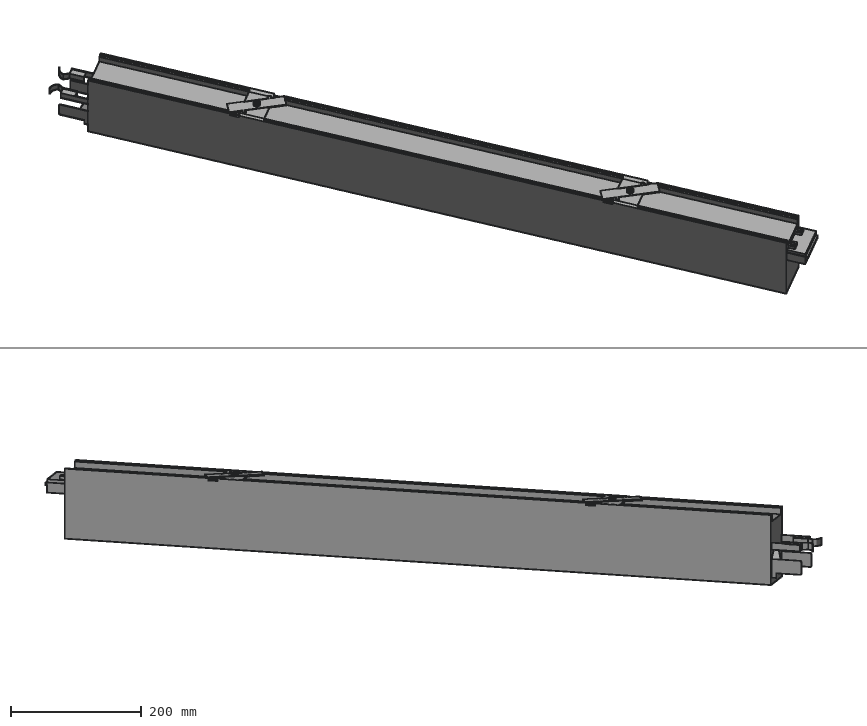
import cadquery as cq

total_length = 1220.0
total_height = 113.0

housing_width = 62.0
housing_height = 110.0
housing_start = 65.0
housing_end = 1187.0
floor_z = 99.0
wall = 4.0
ledge_width = 4.0
ledge_z = 109.0
join = 2.0

clip_spacing = 600.0
plate_length = 40.0
arm_length = 89.0
arm_width = 18.0
arm_angle = 29
arm_bottom = 109.0
arm_top = 111.0
button_diameter = 11.0
socket_diameter = 5.7
socket_depth = 2.0
nut_diameter = 13.0
nut_top = 104.0
pin_diameter = 5.7
pin_x = 13.0
pin_y = 21.0
notch_start = 18.0
notch_length = 15.0
notch_depth = 4.0

sheet = 1.0
contact_y = 28.0
spring_bottom = 55.0
spring_top = 66.0
channel_start = 20.0
channel_end = 43.0
channel_inner_y = 16.0
curl_inner_y = 11.0
curl_bend_x = 11.0
curl_mid_x = 2.0
curl_mid_y = 17.0
curl_tip_y = 25.0
blade_start = 17.0
blade_bottom = 18.0
blade_top = 40.0
blade_radius = 2.0
foot_length = 7.0
foot_bottom = 11.0
tab_base_length = 15.0
tab_tip_length = 7.0
tab_inner_y = 13.0
tab_top = 54.0

plug_end = 1216.0
plug_width = 55.0
plug_bottom = 70.0
plug_top = 85.0
lid_top = 90.0
lid_inset = 1.0
nose_width = 48.0
nose_bottom = 80.0
nose_top = 84.0
lug_length = 11.0
lug_width = 11.0
lug_y = 16.0
lug_top = 95.0
lug_hole_diameter = 5.7


def box(x0, x1, y0, y1, z0, z1):
    """Box between two opposite corners."""
    return cq.Workplane("XY").box(x1 - x0, y1 - y0, z1 - z0, centered=False).translate((x0, y0, z0))


def centered_box(x0, x1, width, z0, z1):
    """Box that is symmetric about the XZ plane."""
    return box(x0, x1, -width / 2, width / 2, z0, z1)


def cylinder(diameter, z0, z1):
    """Upright cylinder on the Z axis."""
    return cq.Workplane("XY").workplane(offset=z0).circle(diameter / 2).extrude(z1 - z0)


def make_housing():
    """Long body with a stepped open channel along its top."""
    upper_width = housing_width - 2 * wall
    lower_width = upper_width - 2 * ledge_width
    body = centered_box(housing_start, housing_end, housing_width, 0, housing_height)
    body = body.cut(centered_box(housing_start, housing_end, upper_width, ledge_z, housing_height))
    return body.cut(centered_box(housing_start, housing_end, lower_width, floor_z, ledge_z))


def make_clip_notches():
    """Cutters that open both walls where the ends of a clip arm lie."""
    side = housing_width / 2
    notch = box(notch_start, notch_start + notch_length, side - wall, side,
                housing_height - notch_depth, housing_height)
    return notch.union(notch.rotate((0, 0, 0), (0, 0, 1), 180))


def make_clip():
    """Base plate on the ledges with a swivelled arm, two pins and a button on a nut."""
    clip = centered_box(-plate_length / 2, plate_length / 2, housing_width - 2 * wall,
                        ledge_z, housing_height)
    arm = centered_box(-arm_length / 2, arm_length / 2, arm_width, arm_bottom, arm_top)
    clip = clip.union(arm.rotate((0, 0, 0), (0, 0, 1), arm_angle))
    clip = clip.union(cylinder(nut_diameter, floor_z, nut_top))
    clip = clip.union(cylinder(button_diameter, floor_z, total_height))
    clip = clip.cut(cylinder(socket_diameter, total_height - socket_depth, total_height))
    pin = cylinder(pin_diameter, ledge_z, arm_top)
    clip = clip.union(pin.translate((pin_x, pin_y, 0)))
    return clip.union(pin.translate((-pin_x, -pin_y, 0)))


def make_spring():
    """Upper contact: inverted channel with a curled tongue at its free end."""
    outer_side = box(channel_start, housing_start + join, contact_y - sheet, contact_y,
                     spring_bottom, spring_top)
    inner_side = box(channel_start, channel_end, channel_inner_y, channel_inner_y + sheet,
                     spring_bottom, spring_top)
    web = box(channel_start, channel_end, channel_inner_y, contact_y, spring_top - sheet, spring_top)
    bend_outer_y = curl_inner_y + sheet
    tongue = (
        cq.Workplane("XY").workplane(offset=spring_bottom)
        .moveTo(channel_start, channel_inner_y)
        .lineTo(curl_bend_x, curl_inner_y)
        .threePointArc((curl_mid_x, curl_mid_y), (0, curl_tip_y))
        .lineTo(sheet, curl_tip_y)
        .threePointArc((curl_mid_x + sheet / 2, curl_mid_y + sheet / 2), (curl_bend_x, bend_outer_y))
        .lineTo(channel_start, channel_inner_y + sheet)
        .close()
        .extrude(spring_top - spring_bottom)
    )
    return outer_side.union(inner_side).union(web).union(tongue)


def make_blade():
    """Lower contact: flat blade with a foot below and a tab folded inward above."""
    inner_y = contact_y - sheet
    root = housing_start + join
    blade = box(blade_start, root, inner_y, contact_y, blade_bottom, blade_top)
    blade = blade.edges("|Y and <X").fillet(blade_radius)
    foot = box(housing_start - foot_length, root, inner_y, contact_y, foot_bottom, blade_bottom)
    tab_profile = [
        (contact_y, blade_top),
        (tab_inner_y, tab_top),
        (tab_inner_y, tab_top - sheet),
        (contact_y, blade_top - sheet),
    ]
    tab_start = housing_start - tab_base_length
    tab = cq.Workplane("YZ").workplane(offset=tab_start).polyline(tab_profile).close()
    tab = tab.extrude(root - tab_start)
    tab_corner = [
        (tab_start, contact_y),
        (housing_start - tab_tip_length, tab_inner_y),
        (tab_start, tab_inner_y),
    ]
    corner_cutter = cq.Workplane("XY").polyline(tab_corner).close().extrude(housing_height)
    return blade.union(foot).union(tab.cut(corner_cutter))


def make_plug():
    """Connector block with a lid, a nose at its end and two pierced lugs beside the housing."""
    root = housing_end - join
    plug = centered_box(root, plug_end, plug_width, plug_bottom, plug_top)
    plug = plug.union(centered_box(root, plug_end, plug_width - 2 * lid_inset, plug_top, lid_top))
    plug = plug.union(centered_box(plug_end, total_length, nose_width, nose_bottom, nose_top))
    lug = centered_box(root, housing_end + lug_length, lug_width, lid_top, lug_top)
    lug_hole = cylinder(lug_hole_diameter, lid_top, lug_top)
    lug = lug.cut(lug_hole.translate((housing_end + lug_length / 2, 0, 0)))
    for lug_center in (-lug_y, lug_y):
        plug = plug.union(lug.translate((0, lug_center, 0)))
    return plug


result = make_housing()

clip_middle = (housing_start + housing_end) / 2
for clip_x in (clip_middle - clip_spacing / 2, clip_middle + clip_spacing / 2):
    result = result.cut(make_clip_notches().translate((clip_x, 0, 0)))
    result = result.union(make_clip().translate((clip_x, 0, 0)))

contacts = make_spring().union(make_blade())
result = result.union(contacts).union(contacts.mirror("XZ"))

result = result.union(make_plug())